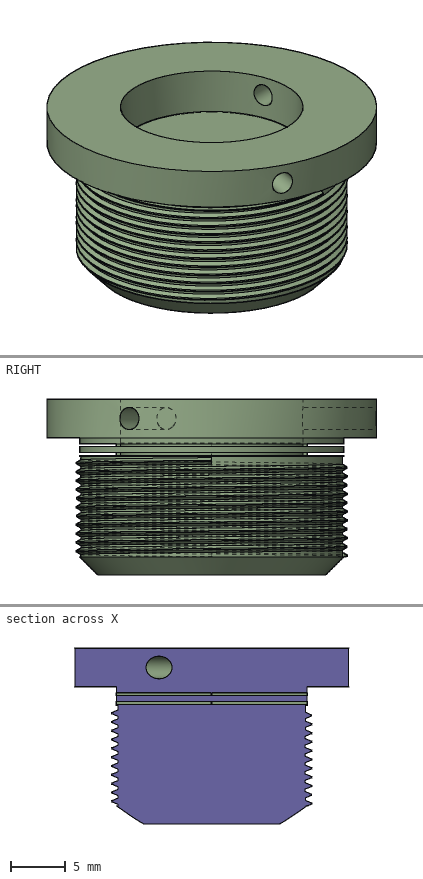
import cadquery as cq
import math

flange_diameter = 30.0
flange_height = 3.5
total_height = 16.0
flange_bottom = total_height - flange_height

pocket_diameter = 16.6
pocket_depth = 4.0
radial_hole_diameter = 2.0
radial_hole_angles = (90, 210, 330)

neck_diameter = 24.03
neck_bottom = 10.77
chamfer = 1.65
root_diameter = 23.82
crest_diameter = 24.65
pitch = 0.8
thread_turns = 10.75
thread_start_height = 1.77
thread_start_angle = 90
thread_base_width = 0.6
thread_crest_width = 0.12
root_overlap = 0.1

slot_height = 0.25
lower_slot_bottom = 10.9
slot_count = 2


def cylinder(diameter, bottom, top):
    return cq.Workplane("XY").workplane(offset=bottom).circle(diameter / 2).extrude(top - bottom)


def make_body():
    end_cone = cq.Workplane(cq.Solid.makeCone(neck_diameter / 2 - chamfer, neck_diameter / 2, chamfer))
    root = cylinder(root_diameter, chamfer, neck_bottom)
    neck = cylinder(neck_diameter, neck_bottom, flange_bottom)
    flange = cylinder(flange_diameter, flange_bottom, total_height)
    return end_cone.union(root).union(neck).union(flange)


def make_thread():
    """Right-handed helical ridge, starting on the +Y side and trimmed flat above the end chamfer."""
    root_radius = root_diameter / 2
    crest_radius = crest_diameter / 2
    flank_slope = (thread_base_width - thread_crest_width) / 2 / (crest_radius - root_radius)
    inner_radius = root_radius - root_overlap
    inner_half = thread_base_width / 2 + root_overlap * flank_slope
    crest_half = thread_crest_width / 2
    path = cq.Wire.makeHelix(pitch, thread_turns * pitch, root_radius)
    ridge = (
        cq.Workplane("XZ")
        .polyline([
            (inner_radius, -inner_half),
            (crest_radius, -crest_half),
            (crest_radius, crest_half),
            (inner_radius, inner_half),
        ])
        .close()
        .sweep(cq.Workplane(path), isFrenet=True)
    )
    ridge = ridge.rotate((0, 0, 0), (0, 0, 1), thread_start_angle).translate((0, 0, thread_start_height))
    return ridge.intersect(cylinder(flange_diameter, chamfer, flange_bottom))


def make_neck_slot(bottom):
    """Slot around the core, interrupted by a solid web on the -X side."""
    ring = cylinder(flange_diameter, bottom, bottom + slot_height)
    ring = ring.cut(cylinder(pocket_diameter, bottom, bottom + slot_height))
    web = cq.Workplane("XY").box(
        flange_diameter, flange_diameter, slot_height, centered=(True, True, False)
    ).translate((-(flange_diameter + pocket_diameter) / 2, 0, bottom))
    return ring.cut(web)


def make_radial_hole(angle):
    """Hole from the rim of the flange into the pocket."""
    direction = cq.Vector(math.cos(math.radians(angle)), math.sin(math.radians(angle)), 0)
    center = cq.Vector(0, 0, total_height - flange_height / 2)
    return cq.Workplane(cq.Solid.makeCylinder(
        radial_hole_diameter / 2, flange_diameter, center, direction))


result = make_body().union(make_thread())
result = result.cut(cylinder(pocket_diameter, total_height - pocket_depth, total_height))
for slot in range(slot_count):
    result = result.cut(make_neck_slot(lower_slot_bottom + slot * pitch))
for hole_angle in radial_hole_angles:
    result = result.cut(make_radial_hole(hole_angle))